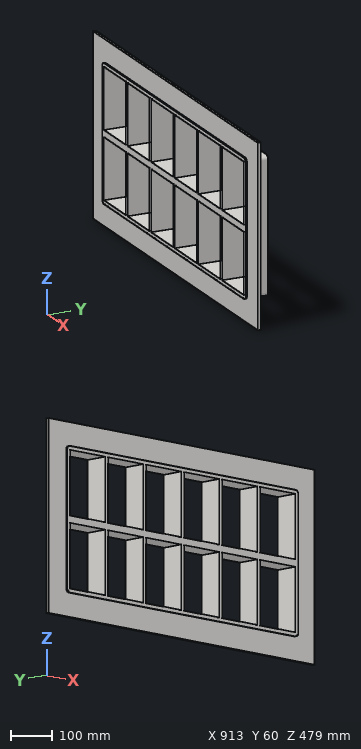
import cadquery as cq

length = 913.0
height = 479.0
depth = 60.0

flange_border = 59.0
flange_thickness = 8.0
front_lip = 4.0

frame_length = length - 2 * flange_border
frame_height = height - 2 * flange_border
corner_radius = 11.0
wall = 10.0
middle_rail = 18.0

columns = 6
rows = 2
window_width = (frame_length - (columns + 1) * wall) / columns
window_height = (frame_height - 2 * wall - (rows - 1) * middle_rail) / rows
column_pitch = window_width + wall
row_pitch = window_height + middle_rail


def slab(x_size, z_size, front, thickness):
    """Centred rectangular slab running in +Y from the plane y = front."""
    return cq.Workplane("XY").box(x_size, thickness, z_size, centered=(True, False, True)).translate((0, front, 0))


frame = slab(frame_length, frame_height, 0, depth).edges("|Y").fillet(corner_radius)
flange = slab(length, height, front_lip, flange_thickness)

windows = (
    cq.Workplane("XZ")
    .rarray(column_pitch, row_pitch, columns, rows)
    .rect(window_width, window_height)
    .extrude(-depth)
)

result = frame.union(flange).cut(windows)